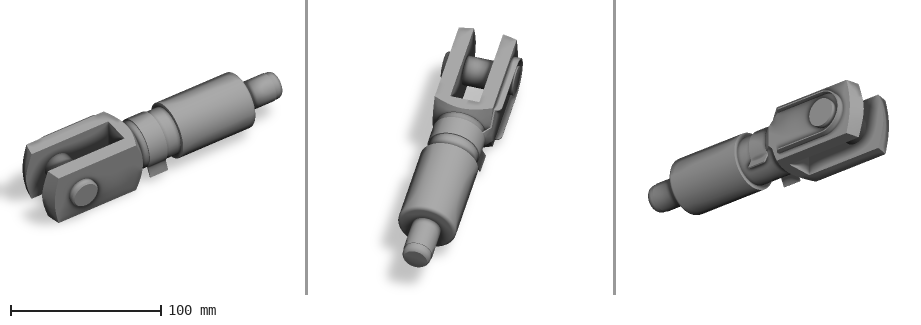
import cadquery as cq
import math


neck_start_y = 49.8
sleeve_start_y = 80.0
sleeve_end_y = 138.0
stud_step_y = 160.0
stud_end_y = 166.0
neck_radius = 17.0
sleeve_radius = 20.0
sleeve_fillet = 2.3
stud_radius = 10.0
stud_tip_radius = 9.6
stud_end_radius = 8.0
stud_rounding_length = 3.5

fork_width = 40.0
half_width = fork_width / 2
slot_width = 20.0
slot_half_width = slot_width / 2
slot_end_y = 40.0
fork_tip_y = -25.0
tip_cone_angle = 20.0
back_cone_angle = 33.0
back_face_radius = 17.5
cone_margin = 1.0

pin_radius = 10.0
pin_length = 50.0
pin_chamfer = 1.0

sheet = 1.0
tray_radius = 15.5
tray_height = pin_length / 2 - half_width
rim_thickness = 0.8
rim_end_y = 40.5
rim_corner_radius = 3.9
arm_width = 14.4
arm_bend_y = 49.0
band_start_y = 55.0
band_end_y = 69.0
band_angle = 210.5
band_bend_radius = 1.25
flap_length = 7.4
flap_tilt = 25.5


def make_shaft():
    """Neck, sleeve and stud with a rounded end, turned about Y and rooted in the fork."""
    rounding_start_y = stud_end_y - stud_rounding_length
    drop = stud_tip_radius - stud_end_radius
    rounding_radius = (stud_rounding_length**2 + drop**2) / (2 * drop)
    half_angle = math.asin(stud_rounding_length / rounding_radius) / 2
    arc_middle = (
        stud_tip_radius - rounding_radius * (1 - math.cos(half_angle)),
        rounding_start_y + rounding_radius * math.sin(half_angle),
    )
    profile = (
        cq.Workplane("XY")
        .moveTo(0, slot_end_y)
        .lineTo(neck_radius, slot_end_y)
        .lineTo(neck_radius, sleeve_start_y)
        .lineTo(sleeve_radius, sleeve_start_y)
        .lineTo(sleeve_radius, sleeve_end_y - sleeve_fillet)
        .radiusArc((sleeve_radius - sleeve_fillet, sleeve_end_y), -sleeve_fillet)
        .lineTo(stud_radius, sleeve_end_y)
        .lineTo(stud_radius, stud_step_y)
        .lineTo(stud_tip_radius, stud_step_y)
        .lineTo(stud_tip_radius, rounding_start_y)
        .threePointArc(arc_middle, (stud_end_radius, stud_end_y))
        .lineTo(0, stud_end_y)
        .close()
    )
    return profile.revolve(360, (0, 0, 0), (0, 1, 0))


def make_fork():
    """Square block trimmed by a cone at each end and slotted from the tip."""
    block_length = neck_start_y - fork_tip_y
    corner_radius = half_width * math.sqrt(2) + cone_margin
    tip_rise = (corner_radius - slot_half_width) * math.tan(math.radians(tip_cone_angle))
    back_drop = (corner_radius - back_face_radius) * math.tan(math.radians(back_cone_angle))
    envelope = (
        cq.Workplane("XY")
        .polyline([
            (0, fork_tip_y),
            (slot_half_width, fork_tip_y),
            (corner_radius, fork_tip_y + tip_rise),
            (corner_radius, neck_start_y - back_drop),
            (back_face_radius, neck_start_y),
            (0, neck_start_y),
        ])
        .close()
        .revolve(360, (0, 0, 0), (0, 1, 0))
    )
    block = cq.Workplane("XY").box(fork_width, block_length, fork_width)
    block = block.translate((0, fork_tip_y + block_length / 2, 0))
    slot_length = slot_end_y - fork_tip_y
    slot = cq.Workplane("XY").box(slot_width, slot_length, fork_width)
    slot = slot.translate((0, fork_tip_y + slot_length / 2, 0))
    return block.intersect(envelope).cut(slot)


def make_pin():
    """Round pin through both fork cheeks, chamfered at its free end."""
    pin = cq.Workplane("YZ").workplane(offset=-pin_length / 2).circle(pin_radius).extrude(pin_length)
    return pin.faces(">X").chamfer(pin_chamfer)


def tray_outline(radius, length, height):
    """U-shaped prism rising from the fork cheek towards -X."""
    return (
        cq.Workplane("YZ")
        .workplane(offset=-half_width)
        .moveTo(length, radius)
        .lineTo(0, radius)
        .threePointArc((-radius, 0), (0, -radius))
        .lineTo(length, -radius)
        .close()
        .extrude(-height)
    )


def make_tray():
    """Sheet on the fork cheek with a raised rim around the pin head and a tapered tail."""
    rim = tray_outline(tray_radius, rim_end_y, tray_height)
    rim = rim.edges("|Z and >Y and <X").fillet(rim_corner_radius)
    rim = rim.cut(tray_outline(tray_radius - rim_thickness, rim_end_y, tray_height))
    floor = tray_outline(tray_radius, rim_end_y, sheet)
    tail = (
        cq.Workplane("YZ")
        .workplane(offset=-half_width)
        .polyline([
            (rim_end_y, tray_radius),
            (arm_bend_y, arm_width / 2),
            (arm_bend_y, -arm_width / 2),
            (rim_end_y, -tray_radius),
        ])
        .close()
        .extrude(-sheet)
    )
    return rim.union(floor).union(tail)


def make_arm():
    """Ruled strip from the flat tail to the curved edge of the band."""
    half_arm = arm_width / 2
    inner_radius = neck_radius
    outer_radius = neck_radius + sheet
    inner_x = -math.sqrt(inner_radius**2 - half_arm**2)
    outer_x = -math.sqrt(outer_radius**2 - half_arm**2)
    y_start = arm_bend_y
    y_end = band_start_y
    flat_corners = [
        cq.Vector(-half_width, y_start, -half_arm),
        cq.Vector(-half_width, y_start, half_arm),
        cq.Vector(-half_width - sheet, y_start, half_arm),
        cq.Vector(-half_width - sheet, y_start, -half_arm),
    ]
    flat_end = cq.Wire.makePolygon(flat_corners, close=True)
    curved_end = cq.Wire.assembleEdges([
        cq.Edge.makeThreePointArc(
            cq.Vector(inner_x, y_end, -half_arm),
            cq.Vector(-inner_radius, y_end, 0),
            cq.Vector(inner_x, y_end, half_arm),
        ),
        cq.Edge.makeLine(cq.Vector(inner_x, y_end, half_arm), cq.Vector(outer_x, y_end, half_arm)),
        cq.Edge.makeThreePointArc(
            cq.Vector(outer_x, y_end, half_arm),
            cq.Vector(-outer_radius, y_end, 0),
            cq.Vector(outer_x, y_end, -half_arm),
        ),
        cq.Edge.makeLine(cq.Vector(outer_x, y_end, -half_arm), cq.Vector(inner_x, y_end, -half_arm)),
    ])
    return cq.Workplane("XY").add(cq.Solid.makeLoft([flat_end, curved_end], True))


def make_band():
    """Open band over the top of the neck with both ends flared outwards."""
    inner_radius = neck_radius
    outer_radius = neck_radius + sheet
    end_angle = math.radians(band_angle)
    tilt = math.radians(flap_tilt)
    length = band_end_y - band_start_y

    def on_circle(radius):
        return radius * math.cos(end_angle), radius * math.sin(end_angle)

    def mirrored(point):
        return -point[0], point[1]

    outer_end = on_circle(outer_radius)
    inner_end = on_circle(inner_radius)
    plane = cq.Workplane("XZ", origin=(0, band_end_y, 0))
    band = (
        plane.moveTo(*outer_end)
        .threePointArc((0, outer_radius), mirrored(outer_end))
        .lineTo(*mirrored(inner_end))
        .threePointArc((0, inner_radius), inner_end)
        .close()
        .extrude(length)
    )
    along = (-flap_length * math.sin(tilt), -flap_length * math.cos(tilt))
    across = (sheet * math.cos(tilt), -sheet * math.sin(tilt))
    flap_tip = (outer_end[0] + along[0], outer_end[1] + along[1])
    flap_points = [
        outer_end,
        flap_tip,
        (flap_tip[0] + across[0], flap_tip[1] + across[1]),
        (outer_end[0] + across[0], outer_end[1] + across[1]),
        inner_end,
    ]
    for points in (flap_points, [mirrored(point) for point in flap_points]):
        band = band.union(plane.polyline(points).close().extrude(length))
    middle_y = band_end_y - length / 2
    for x, z in (outer_end, mirrored(outer_end)):
        bend = cq.selectors.NearestToPointSelector((x, middle_y, z))
        band = band.edges("|Y").edges(bend).fillet(band_bend_radius)
    return band


result = make_shaft()
for piece in (make_fork(), make_pin(), make_tray(), make_arm(), make_band()):
    result = result.union(piece)